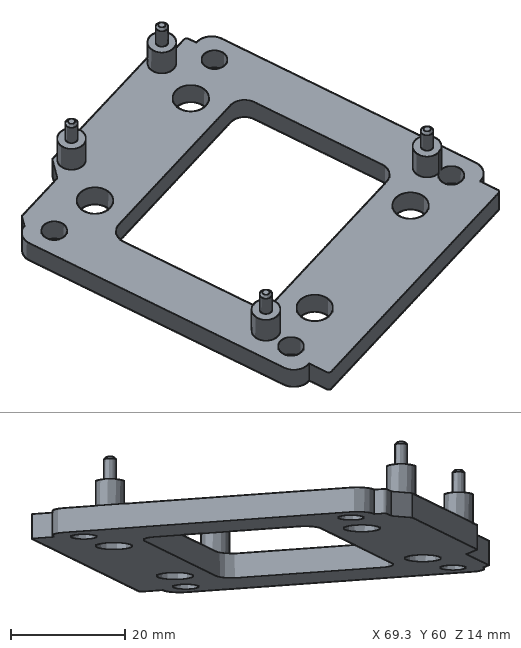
import cadquery as cq

body_size = 59.95
overall_length = 69.3
left_overhang = 5.05
plate_thickness = 4.4
body_corner_radius = 3.1
body_half = body_size / 2
left_x = -body_half - left_overhang
right_x = left_x + overall_length

tab_half_width = 26.7
tab_corner_radius = 0.55
upper_step = 2.85
lower_step = 3.3
nose_top_y = 21.15
nose_bottom_y = -10.8
lower_bevel_start_y = -25.2

window_length = 33.0
window_width = 40.8
window_corner_radius = 3.0

small_hole_diameter = 4.5
small_hole_spacing = 50.0
large_hole_diameter = 6.4
large_hole_spacing_x = 46.4
large_hole_spacing_y = 29.95

boss_diameter = 5.05
boss_height = 5.3
pin_diameter = 2.2
overall_height = 14.0
pin_height = overall_height - plate_thickness - boss_height
pin_chamfer = 0.5
left_pin_x = left_x + 2.85
pin_positions = [
    (left_pin_x, 19.2),
    (left_pin_x, -9.0),
    (20.4, 24.3),
    (19.2, -24.25),
]


def make_body():
    body = cq.Workplane("XY").rect(body_size, body_size).extrude(plate_thickness)
    return body.edges("|Z").fillet(body_corner_radius)


def make_left_tab():
    """Left tab with a bevelled nose; its inner edge is buried in the body."""
    upper_x = left_x + upper_step
    lower_x = left_x + lower_step
    lower_bevel_end_y = lower_bevel_start_y - (-body_half - lower_x)
    outline = [
        (0, tab_half_width),
        (upper_x, tab_half_width),
        (upper_x, nose_top_y + upper_step),
        (left_x, nose_top_y),
        (left_x, nose_bottom_y),
        (lower_x, nose_bottom_y - lower_step),
        (lower_x, lower_bevel_start_y),
        (-body_half, lower_bevel_end_y),
        (0, lower_bevel_end_y),
    ]
    tab = cq.Workplane("XY").polyline(outline).close().extrude(plate_thickness)
    top_corner = cq.selectors.NearestToPointSelector((upper_x, tab_half_width, plate_thickness / 2))
    return tab.edges(top_corner).fillet(tab_corner_radius)


def make_right_tab():
    tab = cq.Workplane("XY").center(right_x / 2, 0).rect(right_x, 2 * tab_half_width)
    return tab.extrude(plate_thickness).edges("|Z and >X").fillet(tab_corner_radius)


def make_window():
    window = cq.Workplane("XY").rect(window_length, window_width).extrude(plate_thickness)
    return window.edges("|Z").fillet(window_corner_radius)


def make_hole_cutters(spacing_x, spacing_y, diameter):
    """Four cylinders that also trim any boss reaching over a hole."""
    centres = cq.Workplane("XY").rect(spacing_x, spacing_y, forConstruction=True).vertices()
    return centres.circle(diameter / 2).extrude(overall_height)


def make_stepped_pin(x, y):
    boss = cq.Workplane("XY").circle(boss_diameter / 2).extrude(plate_thickness + boss_height)
    pin = boss.faces(">Z").workplane().circle(pin_diameter / 2).extrude(pin_height)
    return pin.faces(">Z").chamfer(pin_chamfer).translate((x, y, 0))


result = make_body().union(make_left_tab()).union(make_right_tab()).cut(make_window())
for pin_x, pin_y in pin_positions:
    result = result.union(make_stepped_pin(pin_x, pin_y))
result = result.cut(make_hole_cutters(small_hole_spacing, small_hole_spacing, small_hole_diameter))
result = result.cut(make_hole_cutters(large_hole_spacing_x, large_hole_spacing_y, large_hole_diameter))